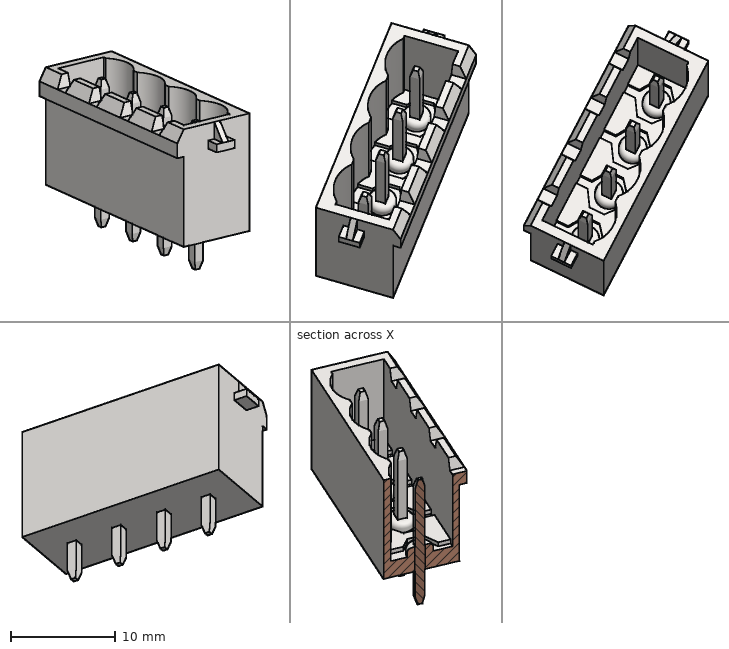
import cadquery as cq
import math


PIN_COUNT = 4
PITCH = 5.07
PIN_SIZE = 1.0
PIN_TIP_SIZE = 0.5
PIN_TIP_LENGTH = 0.9
PIN_TAIL_LENGTH = 4.05
PIN_TOP_DROP = 0.98
pin_positions = [(i - (PIN_COUNT - 1) / 2) * PITCH for i in range(PIN_COUNT)]

OVERALL_LENGTH = 25.12
OVERALL_DEPTH = 8.6
BODY_LENGTH = 22.35
BODY_HEIGHT = 11.95
BACK_TO_PINS = 3.77
LIP_DEPTH = 0.75
LIP_HEIGHT = 2.8
LIP_CHAMFER_HEIGHT = 1.28
back_y = BACK_TO_PINS
lip_y = back_y - OVERALL_DEPTH
front_y = lip_y + LIP_DEPTH

FLOOR_HEIGHT = 2.5
END_WALL = 0.98
FRONT_WALL = 1.5
BACK_WALL = 1.65
BAY_WALL = 0.75
BAY_RADIUS = 3.2
cavity_length = BODY_LENGTH - 2 * END_WALL
cavity_front_y = lip_y + FRONT_WALL
cavity_back_y = back_y - BACK_WALL
bay_back_y = back_y - BAY_WALL
bay_center_y = bay_back_y - BAY_RADIUS

RECESS_DEPTH = 0.5
BACK_NECK_HALF = 1.03
BACK_NECK_Y = 1.33
RECESS_HALF = 2.03
RECESS_BACK_Y = 0.5
RECESS_FRONT_Y = -1.05
FRONT_NECK_HALF = 0.45
FRONT_NECK_Y = -2.05
recess_z = FLOOR_HEIGHT - RECESS_DEPTH

COLLAR_DIAMETER = 2.75
COLLAR_ROUNDING = 0.5
COLLAR_HEIGHT = 1.0

NOTCH_TOP_WIDTH = 1.98
NOTCH_FLOOR_WIDTH = 1.23
notch_depth = LIP_CHAMFER_HEIGHT

TAB_WIDTH = 2.14
TAB_THICKNESS = 0.83
TAB_TOP_DROP = 1.73
RIB_WIDTH = 0.68
TAB_OFFSET_Y = -0.1
tab_top_z = BODY_HEIGHT - TAB_TOP_DROP


def make_block():
    """Housing block with the chamfered lip along its front edge."""
    profile = [
        (back_y, 0),
        (back_y, BODY_HEIGHT),
        (front_y, BODY_HEIGHT),
        (lip_y, BODY_HEIGHT - LIP_CHAMFER_HEIGHT),
        (lip_y, BODY_HEIGHT - LIP_HEIGHT),
        (front_y, BODY_HEIGHT - LIP_HEIGHT),
        (front_y, 0),
    ]
    return cq.Workplane("YZ").polyline(profile).close().extrude(BODY_LENGTH / 2, both=True)


def make_cavity():
    """Open cavity whose back wall bulges into one round bay per pin."""
    half_length = cavity_length / 2
    half_bay = math.sqrt(BAY_RADIUS**2 - (cavity_back_y - bay_center_y) ** 2)
    outline = (
        cq.Workplane("XY", origin=(0, 0, FLOOR_HEIGHT))
        .moveTo(half_length, cavity_front_y)
        .lineTo(-half_length, cavity_front_y)
        .lineTo(-half_length, cavity_back_y)
    )
    for x in pin_positions:
        outline = outline.lineTo(x - half_bay, cavity_back_y)
        outline = outline.threePointArc((x, bay_back_y), (x + half_bay, cavity_back_y))
    outline = outline.lineTo(half_length, cavity_back_y)
    return outline.close().extrude(BODY_HEIGHT - FLOOR_HEIGHT)


def make_recess(x):
    """Keyed recess in the cavity floor, reaching from the bay wall to the front wall."""
    back_corner_y = bay_center_y + math.sqrt(BAY_RADIUS**2 - BACK_NECK_HALF**2)
    left_side = [
        (-BACK_NECK_HALF, BACK_NECK_Y),
        (-RECESS_HALF, RECESS_BACK_Y),
        (-RECESS_HALF, RECESS_FRONT_Y),
        (-FRONT_NECK_HALF, FRONT_NECK_Y),
        (-FRONT_NECK_HALF, cavity_front_y),
    ]
    right_side = [(-px, py) for px, py in reversed(left_side)]
    outline = cq.Workplane("XY", origin=(x, 0, recess_z)).moveTo(-BACK_NECK_HALF, back_corner_y)
    for point in left_side + right_side:
        outline = outline.lineTo(*point)
    outline = outline.lineTo(BACK_NECK_HALF, back_corner_y)
    outline = outline.threePointArc((0, bay_back_y), (-BACK_NECK_HALF, back_corner_y))
    return outline.close().extrude(RECESS_DEPTH)


def make_collar(x):
    """Round collar with a rounded top edge, standing in the floor recess."""
    return (
        cq.Workplane("XY", origin=(x, 0, recess_z))
        .circle(COLLAR_DIAMETER / 2)
        .extrude(COLLAR_HEIGHT)
        .faces(">Z")
        .edges()
        .fillet(COLLAR_ROUNDING)
    )


def make_notch(x):
    """Tapered notch through the front wall, open at the rim."""
    profile = [
        (-NOTCH_TOP_WIDTH / 2, 0),
        (-NOTCH_FLOOR_WIDTH / 2, -notch_depth),
        (NOTCH_FLOOR_WIDTH / 2, -notch_depth),
        (NOTCH_TOP_WIDTH / 2, 0),
    ]
    return (
        cq.Workplane("XZ", origin=(x, cavity_front_y, BODY_HEIGHT))
        .polyline(profile)
        .close()
        .extrude(FRONT_WALL)
    )


def make_end_tab():
    """Tab on the +X end with a triangular rib rising to the rim."""
    root_x = BODY_LENGTH / 2
    tip_x = OVERALL_LENGTH / 2
    tab = (
        cq.Workplane("XZ", origin=(0, TAB_OFFSET_Y, 0))
        .moveTo(root_x, tab_top_z - TAB_THICKNESS)
        .lineTo(tip_x, tab_top_z - TAB_THICKNESS)
        .lineTo(tip_x, tab_top_z)
        .lineTo(root_x, tab_top_z)
        .close()
        .extrude(TAB_WIDTH / 2, both=True)
    )
    rib = (
        cq.Workplane("XZ", origin=(0, TAB_OFFSET_Y, 0))
        .moveTo(root_x, tab_top_z)
        .lineTo(tip_x, tab_top_z)
        .lineTo(root_x, BODY_HEIGHT)
        .close()
        .extrude(RIB_WIDTH / 2, both=True)
    )
    return tab.union(rib)


def make_pin(x):
    """Square pin with a blunt tapered tip at each end."""
    shank_bottom = -PIN_TAIL_LENGTH + PIN_TIP_LENGTH
    shank_top = BODY_HEIGHT - PIN_TOP_DROP - PIN_TIP_LENGTH
    taper = math.degrees(math.atan((PIN_SIZE - PIN_TIP_SIZE) / 2 / PIN_TIP_LENGTH))
    return (
        cq.Workplane("XY", origin=(x, 0, shank_bottom))
        .rect(PIN_SIZE, PIN_SIZE)
        .extrude(shank_top - shank_bottom)
        .faces(">Z")
        .wires()
        .toPending()
        .extrude(PIN_TIP_LENGTH, taper=taper)
        .faces("<Z")
        .workplane()
        .rect(PIN_SIZE, PIN_SIZE)
        .extrude(PIN_TIP_LENGTH, taper=taper)
    )


def make_pin_hole(x):
    """Square hole for a pin, through the floor and the collar."""
    return cq.Workplane("XY", origin=(x, 0, 0)).rect(PIN_SIZE, PIN_SIZE).extrude(recess_z + COLLAR_HEIGHT)


def make_housing():
    """Housing with its end tabs, cavity and the features of each pin position."""
    end_tab = make_end_tab()
    body = make_block().union(end_tab).union(end_tab.mirror("YZ")).cut(make_cavity())
    for x in pin_positions:
        body = body.cut(make_recess(x)).cut(make_notch(x))
        body = body.union(make_collar(x)).cut(make_pin_hole(x))
    return body


housing = make_housing().solids()
pins = [make_pin(x).solids().val() for x in pin_positions]

result = cq.Compound.makeCompound([housing.val(), *pins])